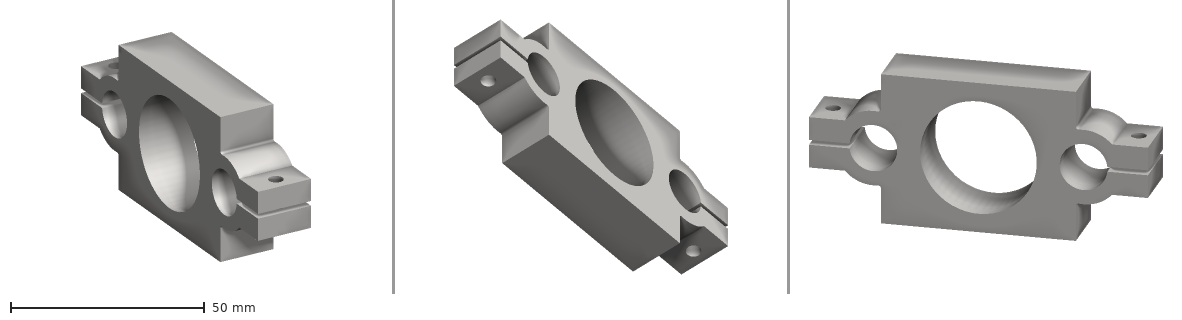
import cadquery as cq

length = 90.2
depth = 15.9
height = 41.1

block_width = 51.85
bore_diameter = 31.0

rod_offset = 27.95
rod_diameter = 12.7
clamp_diameter = 20.6
ear_height = 13.9
slit_height = 1.35
root_fillet = 0.7

screw_diameter = 4.1
screw_edge_distance = 4.4
screw_offset = length / 2 - screw_edge_distance


def cylinder_y(diameter, x):
    """Cylinder along Y, as deep as the part, centred at x."""
    return cq.Workplane("XZ").center(x, 0).circle(diameter / 2).extrude(depth / 2, both=True)


body = cq.Workplane("XY").box(block_width, depth, height)
body = body.union(cq.Workplane("XY").box(length, depth, ear_height))
for side in (-1, 1):
    body = body.union(cylinder_y(clamp_diameter, side * rod_offset))

root_x = block_width / 2
root_z = ((clamp_diameter / 2) ** 2 - (rod_offset - root_x) ** 2) ** 0.5
root_select_size = 0.9
for side in (-1, 1):
    for level in (-1, 1):
        x = side * root_x
        z = level * root_z
        root_box = cq.selectors.BoxSelector(
            (x - root_select_size, -depth, z - root_select_size),
            (x + root_select_size, depth, z + root_select_size),
        )
        body = body.edges("|Y").edges(root_box).fillet(root_fillet)

body = body.cut(cylinder_y(bore_diameter, 0))

slit_length = length / 2 - rod_offset
for side in (-1, 1):
    slit = cq.Workplane("XY").box(slit_length, depth, slit_height)
    slit = slit.translate((side * (rod_offset + slit_length / 2), 0, 0))
    screw = cq.Workplane("XY").center(side * screw_offset, 0)
    screw = screw.circle(screw_diameter / 2).extrude(height / 2, both=True)
    body = body.cut(cylinder_y(rod_diameter, side * rod_offset)).cut(slit).cut(screw)

result = body